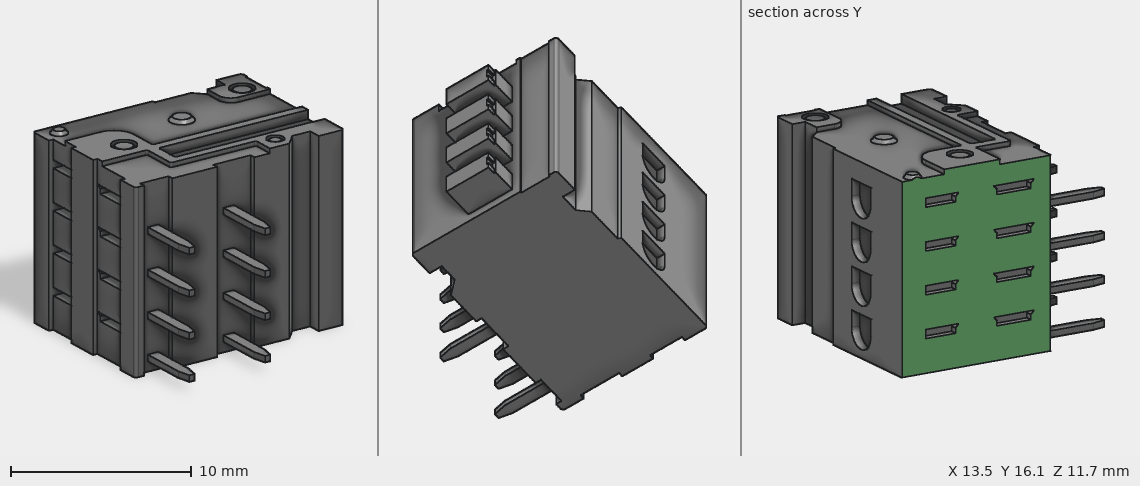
import cadquery as cq

poles = 4
pitch = 2.54
height = 11.65
part_length = 16.05

width = 10.03
depth = 14.01
corner_radius = 0.2
rail_groove_bottom = 11.1
rail_groove_top = 12.31
rail_groove_depth = 0.83
left_waist_inset = 0.2
left_waist_bottom = 8.0
left_waist_shoulder = 8.09
left_waist_top = 10.5
right_slope_bottom = 10.34
foot_recess_depth = 0.29
foot_recesses = [(1.57, 3.77), (5.9, 8.57)]
pin_recess_depth = 0.37
pin_recesses = [(0.6, 2.49), (5.5, 8.0)]
back_notch_depth = 0.1
back_notch_span = (0.55, 2.5)

step_depth = 0.29
low_face = height - step_depth
latch_pad_right = 2.8
latch_pad_radius = 0.8
ridge_left = 5.9
ridge_right = 6.5
channel_right = 8.12
channel_end = 4.0
channel_depth = 0.56
centre_pad_left = 2.73
centre_pad_right = 6.37
centre_pad_radius = 1.35
right_step_left = 8.68
right_step_top = 9.04
right_step_shoulder = 3.3
small_radius = 0.15
overlap = 0.8

boss_height = 0.22
large_boss_radii = (0.74, 0.53)
small_boss_radii = (0.51, 0.34)
large_boss_at = (3.2, 7.8)
small_boss_at = (0.95, 1.1)
large_wells_at = [(1.8, 12.8), (4.99, 2.7)]
small_well_at = (8.99, 10.11)

button_left = 3.07
button_width = 3.02
button_height = 1.32
button_step = 0.11
button_tip_length = 0.51
button_groove_width = 0.51
button_groove_depth = 0.11

pin_tip_x = 13.5
pin_front_row = 1.45
pin_rows = [pin_front_row, pin_front_row + 2 * pitch]
pin_width = 0.7
pin_tip_width = 0.35
pin_thickness = 0.4
pin_taper_length = 0.83
pin_first_z = 0.83

window_centre_y = 5.0
window_radius = 1.03
window_height = 2.02
window_depth = 0.55
slot_height = 0.5
slot_depth = 0.8
slot_flare = 0.2
left_slot = (1.57, 3.66)
right_slot = (5.99, 8.55)


def box(x_span, y_span, z_span):
    """Axis-aligned block from its spans."""
    size = [b - a for a, b in (x_span, y_span, z_span)]
    origin = (x_span[0], y_span[0], z_span[0])
    return cq.Workplane("XY").box(*size, centered=False).translate(origin)


def rounded_cutter(points, rounded_corners, cut_depth):
    """Prism cutting down from the top face, with chosen outline corners rounded."""
    floor = height - cut_depth
    prism = cq.Workplane("XY").workplane(offset=floor).polyline(points).close().extrude(cut_depth + overlap)
    for (x, y), radius in rounded_corners:
        prism = prism.edges(cq.selectors.NearestToPointSelector((x, y, height))).fillet(radius)
    return prism


def boss(centre, radii):
    """Truncated cone standing on the low face."""
    base_radius, tip_radius = radii
    base = cq.Workplane("XY").workplane(offset=low_face).center(*centre).circle(base_radius)
    return base.workplane(offset=boss_height).circle(tip_radius).loft(combine=True)


def well(centre, radii):
    """Round well around a boss, from the low face up to the top face."""
    base_radius = radii[0]
    return cq.Workplane("XY").workplane(offset=low_face).center(*centre).circle(base_radius).extrude(step_depth)


def housing():
    outline = [
        (0, 0), (width, 0),
        (width, right_slope_bottom), (width - rail_groove_depth, rail_groove_bottom),
        (width - rail_groove_depth, rail_groove_top), (width, rail_groove_top),
        (width, depth), (0, depth),
        (0, rail_groove_top), (rail_groove_depth, rail_groove_top),
        (rail_groove_depth, rail_groove_bottom), (left_waist_inset, left_waist_top),
        (left_waist_inset, left_waist_shoulder), (0, left_waist_bottom),
    ]
    body = cq.Workplane("XY").polyline(outline).close().extrude(height)
    for x in (0, width):
        for y in (0, depth):
            corner = cq.selectors.NearestToPointSelector((x, y, height / 2))
            body = body.edges(corner).fillet(corner_radius)
    full_height = (0, height)
    for span in foot_recesses:
        body = body.cut(box(span, (0, foot_recess_depth), full_height))
    for span in pin_recesses:
        body = body.cut(box((width - pin_recess_depth, width), span, full_height))
    return body.cut(box(back_notch_span, (depth - back_notch_depth, depth), full_height))


def left_step():
    points = [
        (latch_pad_right, depth + overlap), (ridge_left, depth + overlap),
        (ridge_left, channel_end), (centre_pad_left, channel_end),
        (centre_pad_left, -overlap), (-overlap, -overlap),
        (-overlap, rail_groove_bottom), (latch_pad_right, rail_groove_bottom),
    ]
    rounded = [
        ((ridge_left, channel_end), small_radius),
        ((centre_pad_left, channel_end), centre_pad_radius),
        ((latch_pad_right, rail_groove_bottom), latch_pad_radius),
    ]
    return rounded_cutter(points, rounded, step_depth)


def right_step():
    points = [
        (centre_pad_right, -overlap), (centre_pad_right, right_step_shoulder),
        (right_step_left, right_step_shoulder), (right_step_left, right_step_top),
        (width + overlap, right_step_top), (width + overlap, -overlap),
    ]
    rounded = [(corner, small_radius) for corner in points[1:4]]
    return rounded_cutter(points, rounded, step_depth)


def channel():
    points = [
        (ridge_right, channel_end), (channel_right, channel_end),
        (channel_right, depth + overlap), (ridge_right, depth + overlap),
    ]
    rounded = [(corner, small_radius) for corner in points[:2]]
    return rounded_cutter(points, rounded, channel_depth)


def button(centre_z):
    z_span = (centre_z - button_height / 2, centre_z + button_height / 2)
    groove_span = (centre_z - button_groove_width / 2, centre_z + button_groove_width / 2)
    tip_span = (part_length - button_tip_length, part_length)
    body = box((button_left, button_left + button_width), (depth - overlap, part_length), z_span)
    step_right = button_left + button_step
    groove_right = step_right + button_groove_depth
    body = body.cut(box((button_left, step_right), tip_span, z_span))
    return body.cut(box((button_left, groove_right), tip_span, groove_span))


def pin(centre_y, centre_z):
    root = width - pin_recess_depth - overlap
    half, half_tip = pin_width / 2, pin_tip_width / 2
    taper_start = pin_tip_x - pin_taper_length
    points = [
        (root, -half), (taper_start, -half), (pin_tip_x, -half_tip),
        (pin_tip_x, half_tip), (taper_start, half), (root, half),
    ]
    blade = cq.Workplane("XY").polyline(points).close().extrude(pin_thickness)
    return blade.translate((0, centre_y, centre_z - pin_thickness / 2))


def window(top_z):
    shoulder_z = top_z - window_height + window_radius
    low_y, high_y = window_centre_y - window_radius, window_centre_y + window_radius
    return (
        cq.Workplane("YZ").moveTo(low_y, top_z).lineTo(high_y, top_z).lineTo(high_y, shoulder_z)
        .threePointArc((window_centre_y, top_z - window_height), (low_y, shoulder_z))
        .close().extrude(window_depth)
    )


def slot(x_span, top_z, left_flare):
    left, right = x_span
    bottom_z = top_z - slot_height
    points = [
        (left, top_z), (right, top_z), (right - slot_flare, top_z - slot_flare),
        (right - slot_flare, bottom_z), (left + left_flare, bottom_z),
    ]
    if left_flare:
        points.append((left + left_flare, top_z - left_flare))
    return cq.Workplane("XZ").polyline(points).close().extrude(-foot_recess_depth - slot_depth)


result = housing().cut(left_step()).cut(right_step()).cut(channel())

free_bosses = [(large_boss_at, large_boss_radii), (small_boss_at, small_boss_radii)]
sunken_bosses = [(centre, large_boss_radii) for centre in large_wells_at]
sunken_bosses.append((small_well_at, small_boss_radii))
for centre, radii in sunken_bosses:
    result = result.cut(well(centre, radii))
for centre, radii in free_bosses + sunken_bosses:
    result = result.union(boss(centre, radii))

for pole in range(poles):
    pole_top = (pole + 1) * pitch
    result = result.union(button((pole + 0.5) * pitch))
    for row in pin_rows:
        result = result.union(pin(row, pin_first_z + pole * pitch))
    result = result.cut(window(pole_top))
    result = result.cut(slot(left_slot, pole_top, 0))
    result = result.cut(slot(right_slot, pole_top, slot_flare))